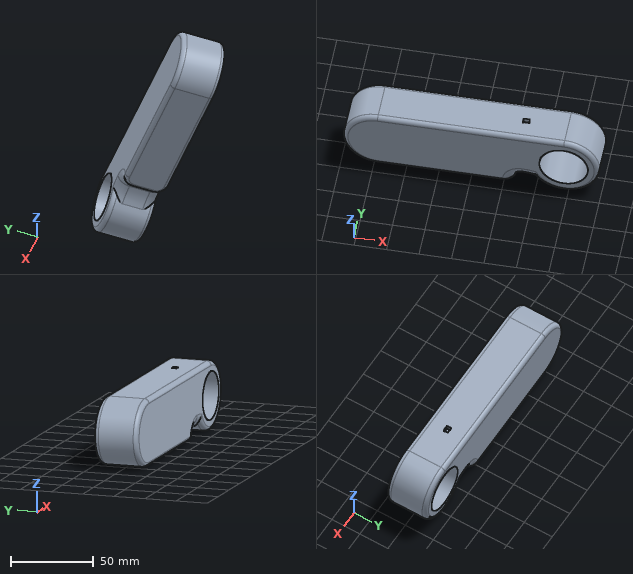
import cadquery as cq
import math

length = 157.5
thickness = 28.0
ring_radius = 21.6
hole_diameter = 30.0
body_height = 42.0
edge_radius = 2.8

notch_wall_x = 105.5
notch_corner_radius = 4.7
notch_roof_radius = 28.4
notch_top_z = -14.2
notch_end_x = 123.7
notch_edge_radius = 7.4

pocket_center_x = 110.5
pocket_length = 4.0
pocket_width = 3.0
pocket_depth = 3.0

half_thickness = thickness / 2
ring_x = length - ring_radius
top_z = ring_radius
bottom_z = top_z - body_height
end_radius = body_height / 2
end_center_z = top_z - end_radius


def make_ring():
    """Round eye at the right end, with both rims rounded."""
    return (
        cq.Workplane("XZ")
        .center(ring_x, 0)
        .circle(ring_radius)
        .extrude(half_thickness, both=True)
        .edges("%CIRCLE")
        .fillet(edge_radius)
    )


def make_body():
    """Round-ended bar with the notch; its right end is buried in the ring."""
    corner_x = notch_wall_x + notch_corner_radius
    corner_z = notch_top_z - notch_corner_radius
    corner_reach = notch_corner_radius * math.sqrt(0.5)
    roof_z = notch_top_z - notch_roof_radius

    def roof_height(x):
        return roof_z + math.sqrt(notch_roof_radius**2 - (x - corner_x) ** 2)

    roof_mid_x = (corner_x + notch_end_x) / 2
    notch_end_z = roof_height(notch_end_x)
    bar = (
        cq.Workplane("XZ")
        .moveTo(ring_x, top_z)
        .lineTo(end_radius, top_z)
        .threePointArc((0, end_center_z), (end_radius, bottom_z))
        .lineTo(notch_wall_x, bottom_z)
        .lineTo(notch_wall_x, corner_z)
        .threePointArc(
            (corner_x - corner_reach, corner_z + corner_reach),
            (corner_x, notch_top_z),
        )
        .threePointArc((roof_mid_x, roof_height(roof_mid_x)), (notch_end_x, notch_end_z))
        .lineTo(ring_x, notch_end_z)
        .close()
        .extrude(half_thickness, both=True)
    )

    notch_zone = cq.selectors.BoxSelector(
        (notch_wall_x - edge_radius, -thickness, bottom_z),
        (notch_end_x - edge_radius, thickness, 0),
    )
    bar = bar.edges(notch_zone).edges("#Y").fillet(notch_edge_radius)

    return bar.faces("<Z").edges("not(<X and |Y)").fillet(edge_radius)


def make_pocket():
    """Pocket cutter, sunk from the top face."""
    return (
        cq.Workplane("XY", origin=(pocket_center_x, 0, top_z))
        .rect(pocket_length, pocket_width)
        .extrude(-pocket_depth)
    )


def make_hole():
    """Cutter for the through hole of the ring."""
    return (
        cq.Workplane("XZ", origin=(ring_x, half_thickness, 0))
        .circle(hole_diameter / 2)
        .extrude(thickness)
    )


result = make_body().union(make_ring()).cut(make_hole()).cut(make_pocket())